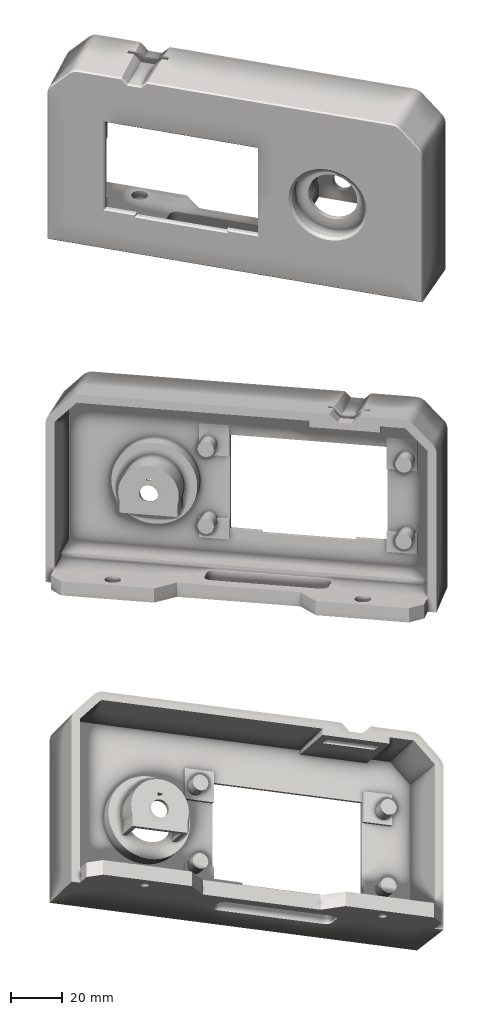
import cadquery as cq
import math

WIDTH = 154.85
HEIGHT = 79.93
TOTAL_DEPTH = 38.5
BODY_DEPTH = 26.5
DRAFT_ANGLE = 2.0
CORNER_CUT = 10.9
CORNER_RADIUS = 5.4
CORNER_ZONE = ((-WIDTH, 1, HEIGHT - 2 * CORNER_CUT), (WIDTH, BODY_DEPTH - 1, HEIGHT))
FRONT_CHAMFER = 0.5
BEVEL_ANGLE = 45.0
WALL = 3.5
FRONT_WALL = 2.0
FLOOR = 6.0

FLOOR_STRIP_TOP = 8.0
FLOOR_STRIP_BACK = 14.7

FLANGE_WIDTH = WIDTH - 2 * WALL
FLANGE_CORNER = 5.0
FLANGE_RELIEF_DEPTH = 7.5
FLANGE_RELIEF_WIDTH = 49.0
SCREW_SPACING = 99.0
SCREW_FROM_BACK = 5.6
SCREW_DIAMETER = 3.5
SCREW_HEAD_DIAMETER = 6.5
SCREW_HEAD_DEPTH = 3.0

FLOOR_SLOT_LEFT = -34.2
FLOOR_SLOT_RIGHT = 15.2
FLOOR_SLOT_FRONT = 16.0
FLOOR_SLOT_BACK = 26.0
FLOOR_SLOT_RADIUS = 3.0

WINDOW_LEFT = -53.0
WINDOW_RIGHT = 9.3
WINDOW_BOTTOM = 18.1
WINDOW_TOP = 57.6
WINDOW_CHAMFER = 0.5
SILL_LEFT = -40.5
SILL_RIGHT = -3.3
SILL_DROP = 0.9

STANDOFF_DIAMETER = 6.4
STANDOFF_END = 10.0
STANDOFF_SIDE_GAP = 8.0
STANDOFF_SILL_GAP = 3.6
PAD_BACK = 3.5
PAD_WIDTH = 12.0
PAD_OVERHANG = 4.0
LOWER_PAD_RISE = 4.4
UPPER_PAD_DROP = 8.6

DIAL_X = 38.0
DIAL_Z = 37.4
DIAL_DIAMETER = 30.0
DIAL_CHAMFER = 1.0
DIAL_DEPTH = 6.3
DIAL_RIM = 2.0
TUBE_DIAMETER = 20.0
TUBE_LENGTH = 9.5
TUBE_SKIRT_HALF_WIDTH = 9.4
TUBE_WALL = 2.0
TUBE_FLAT = 8.6
PLATE_THICKNESS = 2.0
SHAFT_DIAMETER = 7.4
KEY_WIDTH = 2.1
KEY_HEIGHT = 1.1
KEY_OFFSET = 5.9

NOTCH_X = -41.05
NOTCH_FLOOR_WIDTH = 5.5
NOTCH_DEPTH = 3.3
NOTCH_FLOOR_Z = HEIGHT - NOTCH_DEPTH
CLIP_PAD_WIDTH = 28.0
CLIP_PAD_THICKNESS = 2.8
CLIP_X = -41.35
CLIP_WIDTH = 16.6
CLIP_SIDE_UNDERCUT = 2.5
CLIP_FRONT = 17.6
CLIP_MOUTH_BACK = 19.7
CLIP_BACK = 21.8
CLIP_SKIN = 0.9


def box(x_min, x_max, y_min, y_max, z_min, z_max):
    size = (x_max - x_min, y_max - y_min, z_max - z_min)
    return cq.Workplane().box(*size, centered=False).translate((x_min, y_min, z_min))


def rod(x, z, diameter, y_min, y_max):
    """Cylinder along Y."""
    plane = cq.Workplane("XZ", origin=(x, y_max, z))
    return plane.circle(diameter / 2).extrude(y_max - y_min)


def drafted_block(inset, y_front, z_bottom):
    """Body outline shrunk by inset, drafted from the back plane to y_front, cut off at z_bottom."""
    half = WIDTH / 2 - inset
    top = HEIGHT - inset
    cut = CORNER_CUT - inset * (2 - math.sqrt(2))
    base = -BODY_DEPTH
    outline = [
        (-half, base),
        (-half, top - cut),
        (-half + cut, top),
        (half - cut, top),
        (half, top - cut),
        (half, base),
    ]
    block = (
        cq.Workplane("XZ", origin=(0, BODY_DEPTH, 0))
        .polyline(outline)
        .close()
        .extrude(BODY_DEPTH - y_front, taper=DRAFT_ANGLE)
    )
    keep = box(-WIDTH, WIDTH, 0, BODY_DEPTH, z_bottom, 2 * HEIGHT)
    return block.intersect(keep)


def cable_notch():
    """Trapezoid with 45 degree sides, running the full body depth."""
    half_floor = NOTCH_FLOOR_WIDTH / 2
    half_mouth = half_floor + 2 * NOTCH_DEPTH
    mouth_z = NOTCH_FLOOR_Z + 2 * NOTCH_DEPTH
    profile = [
        (NOTCH_X - half_mouth, mouth_z),
        (NOTCH_X - half_floor, NOTCH_FLOOR_Z),
        (NOTCH_X + half_floor, NOTCH_FLOOR_Z),
        (NOTCH_X + half_mouth, mouth_z),
    ]
    return cq.Workplane("XZ", origin=(0, BODY_DEPTH, 0)).polyline(profile).close().extrude(BODY_DEPTH)


def shell():
    solid = drafted_block(0, 0, 0)
    solid = solid.edges(cq.selectors.BoxSelector(*CORNER_ZONE)).fillet(CORNER_RADIUS)
    solid = solid.cut(cable_notch())
    solid = solid.faces("<Y").edges().chamfer(FRONT_CHAMFER)
    pad_half = CLIP_PAD_WIDTH / 2
    pad = box(NOTCH_X - pad_half, NOTCH_X + pad_half, 0, BODY_DEPTH,
              NOTCH_FLOOR_Z - CLIP_PAD_THICKNESS, HEIGHT)
    strip = box(-WIDTH, WIDTH, 0, FLOOR_STRIP_BACK, 0, FLOOR_STRIP_TOP)
    return solid.cut(drafted_block(WALL, FRONT_WALL, FLOOR).cut(pad).cut(strip))


def flange():
    half = FLANGE_WIDTH / 2
    relief_half = FLANGE_RELIEF_WIDTH / 2
    front = BODY_DEPTH - WALL
    relief_y = TOTAL_DEPTH - FLANGE_RELIEF_DEPTH
    outline = [
        (-half, front),
        (-half, TOTAL_DEPTH - FLANGE_CORNER),
        (-half + FLANGE_CORNER, TOTAL_DEPTH),
        (-relief_half - FLANGE_RELIEF_DEPTH, TOTAL_DEPTH),
        (-relief_half, relief_y),
        (relief_half, relief_y),
        (relief_half + FLANGE_RELIEF_DEPTH, TOTAL_DEPTH),
        (half - FLANGE_CORNER, TOTAL_DEPTH),
        (half, TOTAL_DEPTH - FLANGE_CORNER),
        (half, front),
    ]
    screw_y = TOTAL_DEPTH - SCREW_FROM_BACK
    return (
        cq.Workplane()
        .polyline(outline)
        .close()
        .extrude(FLOOR)
        .faces(">Z")
        .workplane(origin=(0, 0, FLOOR))
        .pushPoints([(-SCREW_SPACING / 2, screw_y), (SCREW_SPACING / 2, screw_y)])
        .cboreHole(SCREW_DIAMETER, SCREW_HEAD_DIAMETER, SCREW_HEAD_DEPTH)
    )


def floor_slot():
    slot = box(FLOOR_SLOT_LEFT, FLOOR_SLOT_RIGHT, FLOOR_SLOT_FRONT, FLOOR_SLOT_BACK, 0, FLOOR)
    return slot.edges("|Z").fillet(FLOOR_SLOT_RADIUS)


def window_prism(grow, depth, taper):
    """Window outline enlarged by grow, extruded back from the front face."""
    left = WINDOW_LEFT - grow
    right = WINDOW_RIGHT + grow
    bottom = WINDOW_BOTTOM - grow
    top = WINDOW_TOP + grow
    sill = bottom - SILL_DROP
    outline = [
        (left, top),
        (left, bottom),
        (SILL_LEFT - grow, bottom),
        (SILL_LEFT - grow, sill),
        (SILL_RIGHT + grow, sill),
        (SILL_RIGHT + grow, bottom),
        (right, bottom),
        (right, top),
    ]
    return cq.Workplane("XZ").polyline(outline).close().extrude(-depth, taper=taper)


def window():
    opening = window_prism(0, PAD_BACK, 0)
    bevel = window_prism(WINDOW_CHAMFER, WINDOW_CHAMFER, BEVEL_ANGLE)
    return opening.union(bevel)


def standoffs():
    """Four posts, each on a thin pad that reaches the window jamb."""
    lower = (
        WINDOW_BOTTOM + STANDOFF_SILL_GAP,
        WINDOW_BOTTOM - PAD_OVERHANG,
        WINDOW_BOTTOM + LOWER_PAD_RISE,
    )
    upper = (
        WINDOW_TOP - STANDOFF_SILL_GAP,
        WINDOW_TOP - UPPER_PAD_DROP,
        WINDOW_TOP + PAD_OVERHANG,
    )
    posts = cq.Workplane()
    for jamb, outward in ((WINDOW_LEFT, -1), (WINDOW_RIGHT, 1)):
        post_x = jamb + outward * STANDOFF_SIDE_GAP
        pad_left, pad_right = sorted((jamb, jamb + outward * PAD_WIDTH))
        for post_z, pad_bottom, pad_top in (lower, upper):
            posts = posts.union(rod(post_x, post_z, STANDOFF_DIAMETER, FRONT_WALL / 2, STANDOFF_END))
            posts = posts.union(box(pad_left, pad_right, FRONT_WALL / 2, PAD_BACK, pad_bottom, pad_top))
    return posts


def tube_prism(grow, y_min, y_max):
    """Tube section enlarged by grow: round on top, upright sides below, cut off at the flat."""
    flat_z = DIAL_Z - TUBE_FLAT
    half = TUBE_SKIRT_HALF_WIDTH + grow
    radius = TUBE_DIAMETER / 2 + grow
    round_part = rod(DIAL_X, DIAL_Z, 2 * radius, y_min, y_max)
    above_flat = box(DIAL_X - radius, DIAL_X + radius, y_min, y_max, flat_z, DIAL_Z + radius)
    skirt = box(DIAL_X - half, DIAL_X + half, y_min, y_max, flat_z, DIAL_Z)
    return round_part.intersect(above_flat).union(skirt)


def dial_cup():
    rim_back = DIAL_DEPTH + DIAL_RIM
    plate_back = rim_back + TUBE_LENGTH + PLATE_THICKNESS
    cup = rod(DIAL_X, DIAL_Z, DIAL_DIAMETER + 2 * DIAL_RIM, FRONT_WALL / 2, rim_back)
    tube = tube_prism(TUBE_WALL, rim_back, plate_back)
    return cup.union(tube)


def dial_bore():
    rim_back = DIAL_DEPTH + DIAL_RIM
    tube_back = rim_back + TUBE_LENGTH
    plate_back = tube_back + PLATE_THICKNESS
    mouth_radius = DIAL_DIAMETER / 2 + DIAL_CHAMFER
    mouth_circle = cq.Workplane("XZ", origin=(DIAL_X, 0, DIAL_Z)).circle(mouth_radius)
    mouth = mouth_circle.extrude(-DIAL_CHAMFER, taper=BEVEL_ANGLE)
    recess = rod(DIAL_X, DIAL_Z, DIAL_DIAMETER, 0, DIAL_DEPTH)
    rim_hole = rod(DIAL_X, DIAL_Z, TUBE_DIAMETER, 0, rim_back)
    tube = tube_prism(0, rim_back, tube_back)
    shaft = rod(DIAL_X, DIAL_Z, SHAFT_DIAMETER, 0, plate_back)
    key_z = DIAL_Z + KEY_OFFSET
    key = box(DIAL_X - KEY_WIDTH / 2, DIAL_X + KEY_WIDTH / 2, tube_back, plate_back,
              key_z - KEY_HEIGHT / 2, key_z + KEY_HEIGHT / 2)
    return mouth.union(recess).union(rim_hole).union(tube).union(shaft).union(key)


def clip_pocket():
    """Pocket under a thin skin, wider than the mouth that opens it to the top."""
    left = CLIP_X - CLIP_WIDTH / 2
    right = CLIP_X + CLIP_WIDTH / 2
    bottom = NOTCH_FLOOR_Z - 2 * CLIP_PAD_THICKNESS
    pocket = box(left - CLIP_SIDE_UNDERCUT, right + CLIP_SIDE_UNDERCUT, CLIP_FRONT, CLIP_BACK,
                 bottom, HEIGHT - CLIP_SKIN)
    mouth = box(left, right, CLIP_FRONT, CLIP_MOUTH_BACK, bottom, HEIGHT)
    return pocket.union(mouth)


result = shell().union(flange()).union(standoffs()).union(dial_cup())
for opening in (floor_slot(), window(), dial_bore(), clip_pocket()):
    result = result.cut(opening)